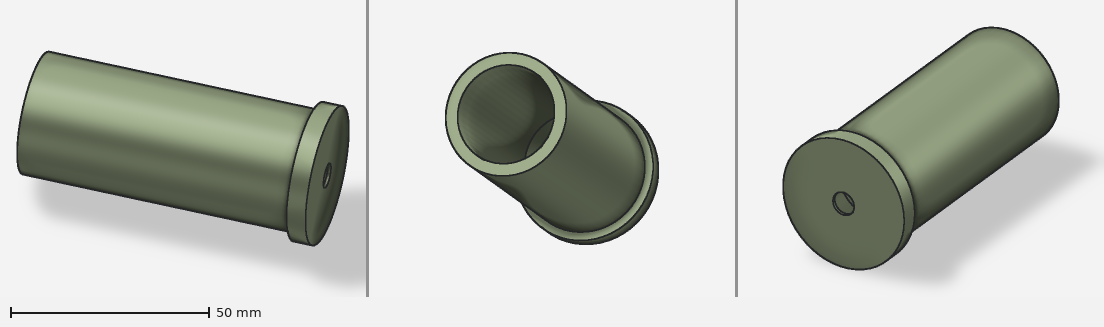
import cadquery as cq
import math

total_length = 77.0
flange_thickness = 5.0
tube_length = total_length - flange_thickness
main_bore_depth = 61.6
inner_bore_depth = tube_length

flange_diameter = 36.0
tube_diameter = 31.7
main_bore_diameter = 25.4
inner_bore_diameter = 20.0
outlet_diameter = 6.3

drill_point_angle = 118.0


def cone_length(large_diameter, small_diameter):
    """Axial length of a drill-point cone between two diameters."""
    radial_step = (large_diameter - small_diameter) / 2
    return radial_step / math.tan(math.radians(drill_point_angle / 2))


def drilled_bore(diameter, depth, next_diameter):
    """Bore from the open end, closing conically to the diameter of the next bore."""
    cone_end = depth + cone_length(diameter, next_diameter)
    return (
        cq.Workplane("XY")
        .lineTo(0, diameter / 2)
        .lineTo(depth, diameter / 2)
        .lineTo(cone_end, next_diameter / 2)
        .lineTo(cone_end, 0)
        .close()
        .revolve(360, (0, 0, 0), (1, 0, 0))
    )


tube = cq.Workplane("YZ").circle(tube_diameter / 2).extrude(total_length)
flange = (
    cq.Workplane("YZ", origin=(tube_length, 0, 0))
    .circle(flange_diameter / 2)
    .extrude(flange_thickness)
)
body = tube.union(flange)

main_bore = drilled_bore(main_bore_diameter, main_bore_depth, inner_bore_diameter)
inner_bore = drilled_bore(inner_bore_diameter, inner_bore_depth, outlet_diameter)
outlet = cq.Workplane("YZ").circle(outlet_diameter / 2).extrude(total_length)

result = body.cut(main_bore).cut(inner_bore).cut(outlet)